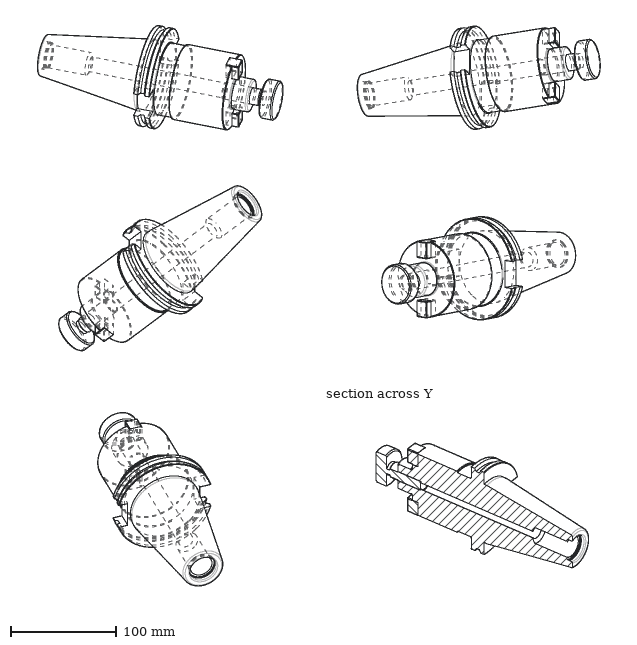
import cadquery as cq
import math


GAUGE_DIA = 69.85
TAPER_LENGTH = 101.6
TAPER_RATE = 7 / 24
TAIL_FILLET = 1.8
TAIL_DIA = GAUGE_DIA - TAPER_LENGTH * TAPER_RATE
TAIL_X = -TAPER_LENGTH

FLANGE_DIA = 97.4
FLANGE_START = 3.18
FLANGE_END = 19.05
FLANGE_EDGE = 0.6
GROOVE_DIA = 91.25
GROOVE_WIDTH = 7.0
GROOVE_FLANK_ANGLE = 30.0
GROOVE_CENTRE = (FLANGE_START + FLANGE_END) / 2
GROOVE_DEPTH = (FLANGE_DIA - GROOVE_DIA) / 2
GROOVE_FLOOR = GROOVE_WIDTH - 2 * GROOVE_DEPTH * math.tan(math.radians(GROOVE_FLANK_ANGLE))

SLOT_WIDTH = 26.1
SLOT_FLOOR_BACK = 37.7
SLOT_FLOOR_FRONT = 35.5

NECK_DIA = GAUGE_DIA
BODY_DIA = 73.0
BODY_START = 35.0
BODY_END = 88.9
BODY_EDGE = 0.7
PILOT_DIA = 31.75
PILOT_END = BODY_END + 17.46
PILOT_FILLET = 1.5
RELIEF_DIA = 31.25
RELIEF_WIDTH = 2.0
ROOT_FILLET = 0.8

BORE_MOUTH_FILLET = 1.25
COUNTERBORE_DIA = 26.7
COUNTERBORE_DEPTH = 4.4
SEAT_DIA = 26.2
SEAT_CONE_LENGTH = 0.7
SEAT_DEPTH = 6.2
THREAD_DIA = 21.97
THREAD_DEPTH = 45.0
THROUGH_DIA = 14.35
CONE_HALF_ANGLE = 59.0

SCREW_DIA = 15.88
SCREW_DEPTH = 10.0
SCREW_START = BODY_END - SCREW_DEPTH
SCREW_RELIEF_DIA = 14.0
SCREW_SHANK_END = 115.9
HEAD_DIA = 38.0
HEAD_START = 119.0
HEAD_END = 132.02
HEAD_EDGE = 1.3
SCREW_EDGE = (SCREW_DIA - SCREW_RELIEF_DIA) / 2

KEY_WIDTH = 12.7
KEY_LENGTH = 12.7
KEY_PROJECTION = 6.35
KEY_INNER = 20.6
KEY_EDGE = 0.7
KEY_HEIGHT = BODY_DIA / 2 - KEY_INNER


def revolve_about_x(outline):
    """Turn a list of (x, diameter) points, closed along the axis, into a solid of revolution."""
    start = (outline[0][0], 0)
    end = (outline[-1][0], 0)
    points = [start] + [(x, diameter / 2) for x, diameter in outline] + [end]
    return cq.Workplane("XY").polyline(points).close().revolve(360, (0, 0, 0), (1, 0, 0))


def circle_at(x, diameter):
    """Select the circular edges in the plane at x, centred on the axis and no larger than diameter."""
    margin = 0.1
    reach = diameter / 2 + margin
    low_corner = (x - margin, -reach, -reach)
    high_corner = (x + margin, reach, reach)
    return cq.selectors.BoxSelector(low_corner, high_corner, boundingbox=True)


def holder_blank():
    blank = revolve_about_x([
        (TAIL_X, TAIL_DIA),
        (0, GAUGE_DIA),
        (FLANGE_START, GAUGE_DIA),
        (FLANGE_START, FLANGE_DIA - 2 * FLANGE_EDGE),
        (FLANGE_START + FLANGE_EDGE, FLANGE_DIA),
        (GROOVE_CENTRE - GROOVE_WIDTH / 2, FLANGE_DIA),
        (GROOVE_CENTRE - GROOVE_FLOOR / 2, GROOVE_DIA),
        (GROOVE_CENTRE + GROOVE_FLOOR / 2, GROOVE_DIA),
        (GROOVE_CENTRE + GROOVE_WIDTH / 2, FLANGE_DIA),
        (FLANGE_END - FLANGE_EDGE, FLANGE_DIA),
        (FLANGE_END, FLANGE_DIA - 2 * FLANGE_EDGE),
        (FLANGE_END, NECK_DIA),
        (BODY_START, NECK_DIA),
        (BODY_START, BODY_DIA - 2 * BODY_EDGE),
        (BODY_START + BODY_EDGE, BODY_DIA),
        (BODY_END - BODY_EDGE, BODY_DIA),
        (BODY_END, BODY_DIA - 2 * BODY_EDGE),
        (BODY_END, RELIEF_DIA),
        (BODY_END + RELIEF_WIDTH, RELIEF_DIA),
        (BODY_END + RELIEF_WIDTH, PILOT_DIA),
        (PILOT_END, PILOT_DIA),
    ])
    return (
        blank.edges(circle_at(TAIL_X, TAIL_DIA)).fillet(TAIL_FILLET)
        .edges(circle_at(PILOT_END, PILOT_DIA)).fillet(PILOT_FILLET)
        .edges(circle_at(FLANGE_END, NECK_DIA)).fillet(ROOT_FILLET)
        .edges(circle_at(BODY_END, RELIEF_DIA)).fillet(ROOT_FILLET)
    )


def drawbar_bore():
    cone_length = (THREAD_DIA - THROUGH_DIA) / 2 / math.tan(math.radians(CONE_HALF_ANGLE))
    return revolve_about_x([
        (TAIL_X, COUNTERBORE_DIA),
        (TAIL_X + COUNTERBORE_DEPTH, COUNTERBORE_DIA),
        (TAIL_X + COUNTERBORE_DEPTH + SEAT_CONE_LENGTH, SEAT_DIA),
        (TAIL_X + SEAT_DEPTH, SEAT_DIA),
        (TAIL_X + SEAT_DEPTH, THREAD_DIA),
        (TAIL_X + THREAD_DEPTH, THREAD_DIA),
        (TAIL_X + THREAD_DEPTH + cone_length, THROUGH_DIA),
        (SCREW_START, THROUGH_DIA),
    ])


def screw_hole():
    return revolve_about_x([(SCREW_START, SCREW_DIA), (PILOT_END, SCREW_DIA)])


def drive_slot(side, floor):
    """Cutter for one flange slot; side is +1 or -1 along Y."""
    return (
        cq.Workplane("XY")
        .box(FLANGE_END - FLANGE_START, FLANGE_DIA, SLOT_WIDTH)
        .translate((GROOVE_CENTRE, side * (floor + FLANGE_DIA / 2), 0))
    )


def drive_key(side):
    """One drive key, edges chamfered except at its seated end; side is +1 or -1 along Z."""
    key_end = BODY_END + KEY_PROJECTION
    return (
        cq.Workplane("XY")
        .box(KEY_LENGTH, KEY_WIDTH, KEY_HEIGHT)
        .edges("|X or >X").chamfer(KEY_EDGE)
        .translate((key_end - KEY_LENGTH / 2, 0, side * (KEY_INNER + KEY_HEIGHT / 2)))
    )


def clamping_screw():
    return revolve_about_x([
        (SCREW_START, SCREW_DIA - 2 * SCREW_EDGE),
        (SCREW_START + SCREW_EDGE, SCREW_DIA),
        (SCREW_SHANK_END - SCREW_EDGE, SCREW_DIA),
        (SCREW_SHANK_END, SCREW_RELIEF_DIA),
        (HEAD_START, SCREW_RELIEF_DIA),
        (HEAD_START, HEAD_DIA - 2 * HEAD_EDGE),
        (HEAD_START + HEAD_EDGE, HEAD_DIA),
        (HEAD_END - HEAD_EDGE, HEAD_DIA),
        (HEAD_END, HEAD_DIA - 2 * HEAD_EDGE),
    ])


screw = clamping_screw()
keys = [drive_key(side) for side in (1, -1)]

holder = holder_blank().cut(drawbar_bore())
holder = holder.edges(circle_at(TAIL_X, COUNTERBORE_DIA)).fillet(BORE_MOUTH_FILLET)
holder = holder.cut(screw_hole())
holder = holder.cut(drive_slot(1, SLOT_FLOOR_BACK)).cut(drive_slot(-1, SLOT_FLOOR_FRONT))
for key in keys:
    holder = holder.cut(key)

result = cq.Compound.makeCompound([holder.val(), screw.val(), *[key.val() for key in keys]])